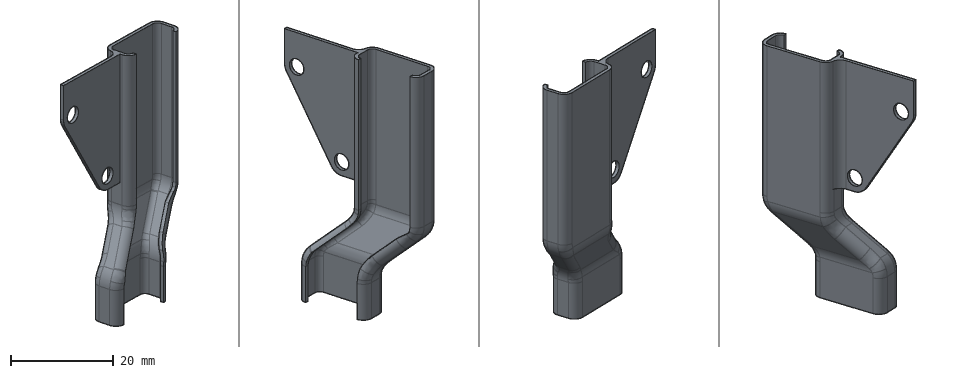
import cadquery as cq
import math

channel_width = 6.6
channel_depth = 16.6
height = 53.97
wall = 0.8
corner_radius = 2.0
bend_radius = 5.0
jog_x = 4.4
jog_y = -9.6
lower_bend_z = 10.0
upper_bend_z = 19.0
slit_cut_depth = 1.5 * wall

flange_reach = 18.0
flange_bottom_z = 26.0
flange_x = channel_width / 2
flange_overlap = wall / 2
flange_corner_radius = 3.0
flange_root_radius = 2.0
hole_diameter = 3.5
outer_hole_drop = 7.5
inner_hole_y = -4.0

outer_hole = (flange_corner_radius - flange_reach, height - outer_hole_drop)
inner_hole = (inner_hole_y, flange_bottom_z + flange_corner_radius)

end_overrun = 2.0
band_reach = height
side_normal_x = 0.5
flat_tolerance = 1e-3


def unit(a, b):
    length = math.hypot(a, b)
    return (a / length, b / length)


def on_circle(center, radius, direction):
    return (center[0] + radius * direction[0], center[1] + radius * direction[1])


def jog_outline(plane, size, jog):
    """Closed outline of the jogging band seen along one horizontal axis, bends rounded."""
    bottom = -end_overrun
    top = height + end_overrun
    points = [
        (jog, bottom),
        (jog, lower_bend_z),
        (0, upper_bend_z),
        (0, top),
        (size, top),
        (size, upper_bend_z),
        (size + jog, lower_bend_z),
        (size + jog, bottom),
    ]
    wire = cq.Workplane(plane).polyline(points).close().val()
    bends = [vertex for vertex in wire.Vertices() if bottom < vertex.Z < top]
    return wire.fillet2D(bend_radius, bends)


def band(plane, size, jog, inset):
    """Long solid whose silhouette is the jogging band, shrunk all round by the inset."""
    outline = cq.Workplane(plane).add(jog_outline(plane, size, jog)).toPending()
    if inset > 0:
        outline = outline.offset2D(-inset)
    return outline.extrude(band_reach, both=True)


def tube(inset):
    """Where the X and Y bands cross, with the four long edges rounded and the ends cut square."""
    x_band = band("XZ", channel_width, jog_x, inset)
    y_band = band("YZ", channel_depth, jog_y, inset)
    block = x_band.intersect(y_band)
    long_edges = [edge for edge in block.edges().vals() if edge.BoundingBox().zlen > flat_tolerance]
    rounded = block.newObject(long_edges).fillet(corner_radius - inset)
    between_ends = cq.Workplane("XY").rect(2 * band_reach, 2 * band_reach).extrude(height)
    return rounded.intersect(between_ends)


def slit(outer):
    """Opening that removes the +X wall, from one rounded corner to the other, over the whole length."""
    opening = cq.Workplane("XY")
    for face in outer.faces().vals():
        normal = face.normalAt()
        if normal.x > side_normal_x and abs(normal.y) < flat_tolerance:
            prism = cq.Solid.extrudeLinear(face, cq.Vector(-slit_cut_depth, 0, 0))
            opening = opening.union(cq.Workplane(prism))
    return opening


def flange_plate():
    """Tapering plate with two rounded corners, each with a hole at its center."""
    radius = flange_corner_radius
    outward = (-1, 0)
    downward = (0, -1)
    slope = unit(inner_hole[1] - outer_hole[1], outer_hole[0] - inner_hole[0])
    outer_middle = unit(slope[0] + outward[0], slope[1] + outward[1])
    inner_middle = unit(slope[0] + downward[0], slope[1] + downward[1])
    base = cq.Workplane("YZ", origin=(flange_x, 0, 0))
    plate = (
        base.moveTo(flange_overlap, height)
        .lineTo(-flange_reach, height)
        .lineTo(*on_circle(outer_hole, radius, outward))
        .threePointArc(on_circle(outer_hole, radius, outer_middle), on_circle(outer_hole, radius, slope))
        .lineTo(*on_circle(inner_hole, radius, slope))
        .threePointArc(on_circle(inner_hole, radius, inner_middle), on_circle(inner_hole, radius, downward))
        .lineTo(flange_overlap, flange_bottom_z)
        .close()
        .extrude(wall)
    )
    holes = base.pushPoints([outer_hole, inner_hole]).circle(hole_diameter / 2).extrude(wall)
    return plate.cut(holes)


def root_fillet():
    """Fillet tangent to the flange's -X face and to the channel's rounded -X, -Y corner."""
    radius = flange_root_radius
    corner = (corner_radius, corner_radius)
    center_distance = corner_radius + radius
    center_x = flange_x - radius
    center_y = corner[1] - math.sqrt(center_distance ** 2 - (corner[0] - center_x) ** 2)
    center = (center_x, center_y)
    toward_corner = unit(corner[0] - center_x, corner[1] - center_y)
    middle = unit(1 + toward_corner[0], toward_corner[1])
    inside_flange_x = flange_x + wall / 2
    return (
        cq.Workplane("XY", origin=(0, 0, flange_bottom_z))
        .moveTo(inside_flange_x, center_y)
        .lineTo(flange_x, center_y)
        .threePointArc(on_circle(center, radius, middle), on_circle(center, radius, toward_corner))
        .lineTo(corner[0], flange_overlap)
        .lineTo(inside_flange_x, flange_overlap)
        .close()
        .extrude(height - flange_bottom_z)
    )


outer_body = tube(0)
body = outer_body.union(flange_plate()).union(root_fillet())
result = body.cut(tube(wall)).cut(slit(outer_body))